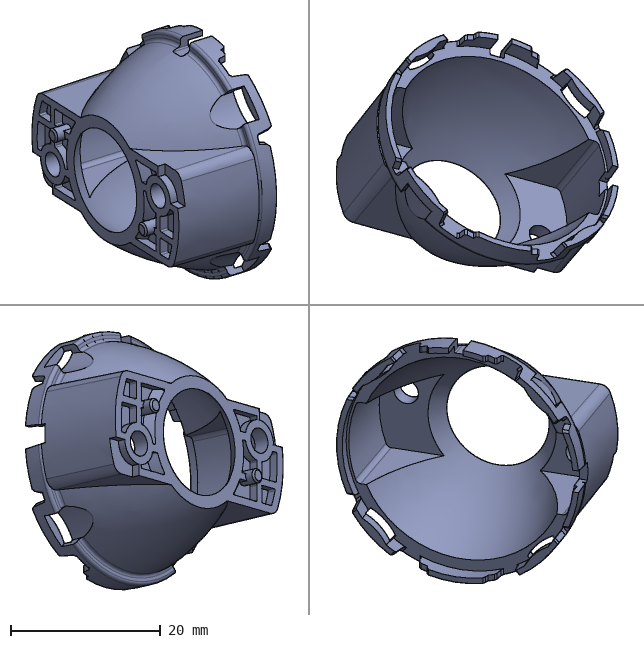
import cadquery as cq
import math


rim_radius = 17.215
tab_inner_radius = 16.4
rim_bottom = 13.0
rim_edge_radius = 0.5
ledge_height = 14.3
side_tab_top = 15.85
centre_tab_top = 16.65
window_tab_top = 16.88

dome_outer_base = (9.0, 0.0)
dome_outer_middle = (13.0, 6.04)
dome_outer_top = (15.74, 12.5)
dome_inner_base = (7.25, 0.0)
dome_inner_middle = (11.5, 6.04)
dome_inner_top = (14.8, ledge_height)

box_half_width = 7.0
box_end_radius = 17.03
box_corner_radius = 1.8
box_wall = 1.0
box_draft = 0.8
base_thickness = 2.3

hole_x = 12.2
hole_z = 2.58
hole_radius = 1.72
hole_boss_radius = 2.85
step_depth = 1.15
pin_x = 10.38
pin_z = 2.81
pin_radius = 0.98
pin_length = 1.4
pin_chamfer = 0.25
pocket_depth = 1.25
pocket_corner_radius = 0.2
pocket_outer_radius = 15.8
pocket_edge = 5.9
rib_inner_x = 11.75
rib_outer_x = 12.7
rib_low_z = 2.5
rib_high_z = 3.46
pocket_inner_x = 6.5
slim_pocket_end_z = 2.05
outer_pocket_end_z = 1.65
corner_pocket_start_z = 3.14

window_half_width = 2.5
window_top = 15.4
scoop_radius = 8.0
scoop_floor_radius = 15.4
scoop_tilt = 7.0
lintel_bulge_radius = 15.85
window_angles = (45, 135, 225, 315)

slot_half_width = 1.05
slot_floor = 15.45
slot_corner_radius = 0.2
notch_bottom = 12.35
notch_half_bottom = 1.3
notch_half_top = 1.6

reach = 2 * rim_radius


def revolved(profile):
    return profile.close().revolve(360, (0, 0, 0), (0, 1, 0))


def rectangle(x_min, x_max, z_min, z_max, y_start, y_end):
    """Block between the given limits."""
    size = (x_max - x_min, y_end - y_start, z_max - z_min)
    return cq.Workplane("XY").box(*size, centered=False).translate((x_min, y_start, z_min))


def rod(x, z, radius, y_start, y_end):
    """Cylinder parallel to Y."""
    plane = cq.Workplane("XZ", origin=(x, y_start, z))
    return plane.circle(radius).extrude(y_start - y_end)


def turned(solid, angle):
    """Turn a solid about Y; 0 degrees points to +Z and 90 degrees to +X."""
    return solid.rotate((0, 0, 0), (0, 1, 0), angle)


def half_turn_pair(solid):
    return solid.union(turned(solid, 180))


def symmetric_plate(half_outline):
    """Radial plate from a half outline of (half width, height) points, extruded toward +Z."""
    mirrored = [(-width, height) for width, height in reversed(half_outline)]
    return cq.Workplane("XY").polyline(half_outline + mirrored).close().extrude(reach)


def dome_solid():
    """Dome with the rim ring, rounded below and flowing into the dome."""
    profile = (
        cq.Workplane("XY")
        .lineTo(*dome_outer_base)
        .threePointArc(dome_outer_middle, dome_outer_top)
        .radiusArc((dome_outer_top[0] + rim_edge_radius, rim_bottom), rim_edge_radius)
        .lineTo(rim_radius - rim_edge_radius, rim_bottom)
        .radiusArc((rim_radius, rim_bottom + rim_edge_radius), -rim_edge_radius)
        .lineTo(rim_radius, ledge_height)
        .lineTo(0, ledge_height)
    )
    return revolved(profile)


def dome_cavity():
    profile = (
        cq.Workplane("XY")
        .lineTo(*dome_inner_base)
        .threePointArc(dome_inner_middle, dome_inner_top)
        .lineTo(0, ledge_height)
    )
    return revolved(profile)


def box_solid():
    """Box with rounded ends that widens from the base toward the rim."""
    growth = rim_bottom * math.tan(math.radians(box_draft))
    half_width = box_half_width + growth
    end = rod(0, 0, box_end_radius + growth, 0, rim_bottom)
    blank = end.intersect(rectangle(-reach, reach, -half_width, half_width, 0, rim_bottom))
    outline = blank.edges("|Y").fillet(box_corner_radius).faces(">Y").wires().val()
    plane = cq.Workplane("XZ", origin=(0, rim_bottom, 0))
    return plane.add(outline).toPending().extrude(rim_bottom, taper=box_draft)


def box_cavity():
    half_width = box_half_width - box_wall
    end = rod(0, 0, box_end_radius - box_wall, base_thickness, ledge_height)
    slab = rectangle(-reach, reach, -half_width, half_width, base_thickness, ledge_height)
    return end.intersect(slab).edges("|Y").fillet(box_corner_radius - box_wall)


def scoop():
    """Hollow outside the dome at a window, open through the rim up to the window top."""
    centre = scoop_floor_radius + scoop_radius
    cylinder = rod(0, centre, scoop_radius, -reach, reach)
    tilted = cylinder.rotate((0, ledge_height, centre), (1, ledge_height, centre), scoop_tilt)
    return tilted.intersect(rectangle(-window_half_width, window_half_width, 0, reach, 0, window_top))


def tab_ring():
    height = window_tab_top - ledge_height
    plane = cq.Workplane("XZ", origin=(0, ledge_height, 0))
    return plane.circle(rim_radius).circle(tab_inner_radius).extrude(-height)


def side_tab():
    return symmetric_plate([(7.5, ledge_height), (7.2, 15.5), (6.9, side_tab_top)])


def centre_tab():
    return symmetric_plate(
        [
            (5.95, ledge_height),
            (5.7, 14.6),
            (5.5, 15.7),
            (5.2, 15.9),
            (4.3, 15.9),
            (4.15, 16.35),
            (3.85, centre_tab_top),
        ]
    )


def window_tab():
    return symmetric_plate([(4.65, ledge_height), (4.3, 14.6), (4.0, 16.6), (3.8, window_tab_top)])


def lintel_bulge():
    """Inward bulge of the bar above a window."""
    slab = rectangle(-window_half_width, window_half_width, 0, tab_inner_radius, window_top, window_tab_top)
    centre = lintel_bulge_radius + scoop_radius
    return rod(0, centre, scoop_radius, window_top, window_tab_top).intersect(slab)


def pocket_cells():
    """Pockets around the mounting hole at -X, given by their X and Z limits."""
    outer = -pocket_outer_radius
    inner = -pocket_inner_x
    limits = [
        (outer, -rib_outer_x, rib_high_z, pocket_edge),
        (-rib_inner_x, inner, rib_high_z, pocket_edge),
        (outer, -rib_outer_x, -outer_pocket_end_z, rib_low_z),
        (-rib_inner_x, inner, -slim_pocket_end_z, rib_low_z),
        (-rib_inner_x, inner, -pocket_edge, -corner_pocket_start_z),
    ]
    boss = turned(rod(hole_x, hole_z, hole_boss_radius, 0, pocket_depth), 180)
    field = rod(0, 0, pocket_outer_radius, 0, pocket_depth)
    field = field.cut(rod(0, 0, dome_outer_base[0], 0, pocket_depth)).cut(boss)
    for cell in limits:
        pocket = rectangle(*cell, 0, pocket_depth).intersect(field)
        yield pocket.edges("|Y").fillet(pocket_corner_radius).cut(dome)


def corner_step():
    """Shallow step in the base outside the mounting hole at -X."""
    corner = rectangle(-reach, -hole_x, -reach, -hole_z, 0, step_depth)
    return corner.cut(rod(-hole_x, -hole_z, hole_boss_radius, 0, step_depth))


def pin():
    return rod(-pin_x, pin_z, pin_radius, -pin_length, pocket_depth).faces("<Y").chamfer(pin_chamfer)


def slot():
    block = rectangle(-slot_half_width, slot_half_width, slot_floor, reach, 0, reach)
    return block.edges("|Y and <Z").fillet(slot_corner_radius)


dome = dome_solid()
body = dome.union(box_solid())
body = body.cut(dome_cavity()).cut(box_cavity())

tabs = half_turn_pair(centre_tab()).union(half_turn_pair(turned(side_tab(), 90)))
for window_angle in window_angles:
    tabs = tabs.union(turned(window_tab(), window_angle))
body = body.union(tab_ring().intersect(tabs))
for window_angle in window_angles:
    body = body.union(turned(lintel_bulge(), window_angle))
    body = body.cut(turned(scoop(), window_angle))

body = body.cut(slot())
notch = symmetric_plate([(notch_half_bottom, notch_bottom), (notch_half_top, side_tab_top)])
body = body.cut(turned(notch, -90))

for cell in pocket_cells():
    body = body.cut(half_turn_pair(cell))
body = body.cut(half_turn_pair(corner_step()))
body = body.cut(half_turn_pair(rod(-hole_x, -hole_z, hole_radius, 0, base_thickness)))
body = body.union(half_turn_pair(pin()))

result = body